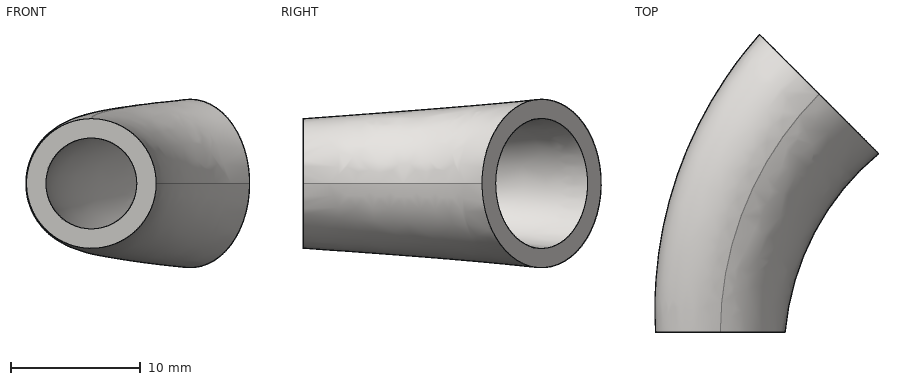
import cadquery as cq
import math

overall_length = 22.98
bend = math.radians(45.0)
small_diameter = 10.0
large_diameter = 13.0
wall = 1.5

rim_reach = large_diameter / 2 * math.sin(bend)
bend_radius = (overall_length - rim_reach) / math.sin(bend)


def centerline_point(angle):
    """Point on the bend centerline, which starts at the origin."""
    x = bend_radius * (1 - math.cos(angle))
    y = bend_radius * math.sin(angle)
    return cq.Vector(x, y, 0)


def section_circle(diameter, angle):
    """Circle square to the centerline at the given bend angle."""
    tangent = cq.Vector(math.sin(angle), math.cos(angle), 0)
    return cq.Wire.makeCircle(diameter / 2, centerline_point(angle), tangent)


def tapered_bend(start_diameter, end_diameter):
    """Solid round bend whose diameter changes from one end to the other."""
    path = cq.Workplane("XY").threePointArc(centerline_point(bend / 2), centerline_point(bend))
    circles = [section_circle(start_diameter, 0), section_circle(end_diameter, bend)]
    sections = cq.Workplane("XY").newObject(circles).toPending()
    return sections.sweep(path, multisection=True)


outside = tapered_bend(small_diameter, large_diameter)
bore = tapered_bend(small_diameter - 2 * wall, large_diameter - 2 * wall)
result = outside.cut(bore)